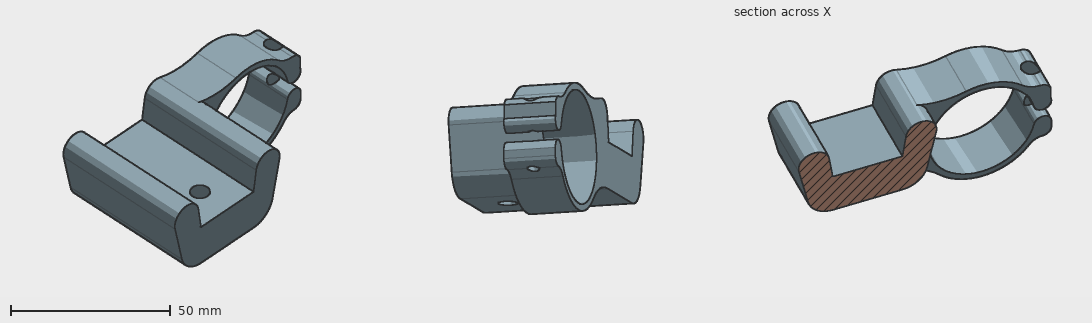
import cadquery as cq
import math


tray_length = 49.0
clamp_width = 17.0

overall_height = 40.33
bore_radius = 18.0
ring_radius = overall_height / 2

gap = 3.0
tip_radius = 3.0
upper_corner_radius = 3.85
upper_corner = (19.74, 8.6)
upper_jaw_blend_radius = 9.0
lower_corner_radius = 3.0
lower_corner_z = -7.05
lower_jaw_blend_radius = 5.67

screw_y = 19.8
screw_diameter = 3.2
screw_head_diameter = 6.0
screw_head_seat_z = 6.0
insert_diameter = 3.9

tray_mid_y = -41.94
tray_width = 46.96
floor_width = 23.5
floor_z = 7.17
bottom_z = -7.8
rail_top_z = 20.0
rail_radius = 5.3
rail_outer_angle = 12.0
bottom_corner_radius = 8.7
rail_top_blend_radius = 29.0
neck_blend_radius = 20.0

mount_hole_diameter = 6.3
mount_hole_x = 37.0

ORIGIN = (0.0, 0.0)
rail_offset = tray_width / 2 - rail_radius
rail_z = rail_top_z - rail_radius
back_rail = (tray_mid_y + rail_offset, rail_z)

tip_z = gap / 2 + tip_radius
tip_y = math.sqrt((bore_radius + tip_radius) ** 2 - tip_z**2)
upper_tip = (tip_y, tip_z)
lower_tip = (tip_y, -tip_z)
lower_corner = (tip_y, lower_corner_z)


def direction(start, end):
    """Angle of the ray from start to end."""
    return math.atan2(end[1] - start[1], end[0] - start[0])


def on_circle(center, radius, angle):
    """Point of a circle at an angle from +Y toward +Z."""
    return (center[0] + radius * math.cos(angle), center[1] + radius * math.sin(angle))


def touch_point(center, radius, other_center):
    """Point where a circle touches an outside circle with the given center."""
    return on_circle(center, radius, direction(center, other_center))


def blend_center(first, first_radius, second, second_radius, radius):
    """Center of a circle touching two others from outside, left of the line first to second."""
    to_first = first_radius + radius
    to_second = second_radius + radius
    spacing = math.dist(first, second)
    cosine = (to_first**2 + spacing**2 - to_second**2) / (2 * to_first * spacing)
    return on_circle(first, to_first, direction(first, second) + math.acos(cosine))


def make_tray():
    """U-shaped tray with two round-topped rails, extruded along X."""
    half_floor = floor_width / 2
    rail_center = (rail_offset, rail_z)
    floor_corner = (half_floor, floor_z)
    to_corner = direction(rail_center, floor_corner)
    inner_angle = to_corner - math.acos(rail_radius / math.dist(rail_center, floor_corner))
    inner = on_circle(rail_center, rail_radius, inner_angle)
    outer_angle = -math.radians(rail_outer_angle)
    outer = on_circle(rail_center, rail_radius, outer_angle)
    top_angle = (inner_angle % (2 * math.pi) + outer_angle) / 2
    top = on_circle(rail_center, rail_radius, top_angle)
    bottom_y = outer[0] + (outer[1] - bottom_z) * math.tan(outer_angle)

    half = (
        cq.Workplane("YZ", origin=(0, tray_mid_y, 0))
        .moveTo(0, bottom_z)
        .lineTo(bottom_y, bottom_z)
        .lineTo(*outer)
        .threePointArc(top, inner)
        .lineTo(*floor_corner)
        .lineTo(0, floor_z)
        .close()
        .extrude(tray_length)
    )
    bottom_corner = (tray_length / 2, tray_mid_y + bottom_y, bottom_z)
    corner_edge = cq.selectors.NearestToPointSelector(bottom_corner)
    half = half.edges(corner_edge).fillet(bottom_corner_radius)
    return half.union(half.mirror("XZ", (0, tray_mid_y, 0)))


def make_clamp():
    """Split ring with two jaws and a neck that flows into the tray."""
    rail_blend = blend_center(back_rail, rail_radius, ORIGIN, ring_radius, rail_top_blend_radius)
    upper_blend = blend_center(
        ORIGIN, ring_radius, upper_corner, upper_corner_radius, upper_jaw_blend_radius
    )
    lower_blend = blend_center(
        lower_corner, lower_corner_radius, ORIGIN, ring_radius, lower_jaw_blend_radius
    )
    neck_blend_z = bottom_z - neck_blend_radius
    neck_blend_y = -math.sqrt((ring_radius + neck_blend_radius) ** 2 - neck_blend_z**2)
    neck_blend = (neck_blend_y, neck_blend_z)

    lean = math.asin((upper_corner_radius - tip_radius) / math.dist(upper_corner, upper_tip))
    jaw_side_angle = direction(upper_tip, upper_corner) - math.pi / 2 + lean

    return (
        cq.Workplane("YZ")
        .moveTo(*touch_point(back_rail, rail_radius, rail_blend))
        .radiusArc(touch_point(ORIGIN, ring_radius, rail_blend), -rail_top_blend_radius)
        .radiusArc(touch_point(ORIGIN, ring_radius, upper_blend), ring_radius)
        .radiusArc(
            touch_point(upper_corner, upper_corner_radius, upper_blend), -upper_jaw_blend_radius
        )
        .radiusArc(
            on_circle(upper_corner, upper_corner_radius, jaw_side_angle), upper_corner_radius
        )
        .lineTo(*on_circle(upper_tip, tip_radius, jaw_side_angle))
        .radiusArc((tip_y, gap / 2), tip_radius)
        .radiusArc(touch_point(upper_tip, tip_radius, ORIGIN), tip_radius)
        .threePointArc((-bore_radius, 0), touch_point(lower_tip, tip_radius, ORIGIN))
        .radiusArc((tip_y, -gap / 2), tip_radius)
        .radiusArc((tip_y + tip_radius, -tip_z), tip_radius)
        .lineTo(tip_y + lower_corner_radius, lower_corner_z)
        .radiusArc(
            touch_point(lower_corner, lower_corner_radius, lower_blend), lower_corner_radius
        )
        .radiusArc(touch_point(ORIGIN, ring_radius, lower_blend), -lower_jaw_blend_radius)
        .radiusArc(touch_point(ORIGIN, ring_radius, neck_blend), ring_radius)
        .radiusArc((neck_blend_y, bottom_z), -neck_blend_radius)
        .lineTo(tray_mid_y, bottom_z)
        .lineTo(tray_mid_y + floor_width / 2, floor_z)
        .close()
        .extrude(clamp_width)
    )


def vertical_hole(x, y, diameter, bottom, top):
    """Cylinder that cuts a vertical hole between two heights."""
    return cq.Workplane("XY", origin=(x, y, bottom)).circle(diameter / 2).extrude(top - bottom)


def cut_holes(body):
    """Clamp screw hole, its head recess, the insert hole and the mounting hole."""
    screw_x = clamp_width / 2
    screw = vertical_hole(screw_x, screw_y, screw_diameter, 0, ring_radius)
    head = vertical_hole(screw_x, screw_y, screw_head_diameter, screw_head_seat_z, ring_radius)
    insert = vertical_hole(screw_x, screw_y, insert_diameter, -ring_radius, 0)
    mount = vertical_hole(mount_hole_x, tray_mid_y, mount_hole_diameter, bottom_z, floor_z)
    return body.cut(screw).cut(head).cut(insert).cut(mount)


result = cut_holes(make_tray().union(make_clamp())).solids()